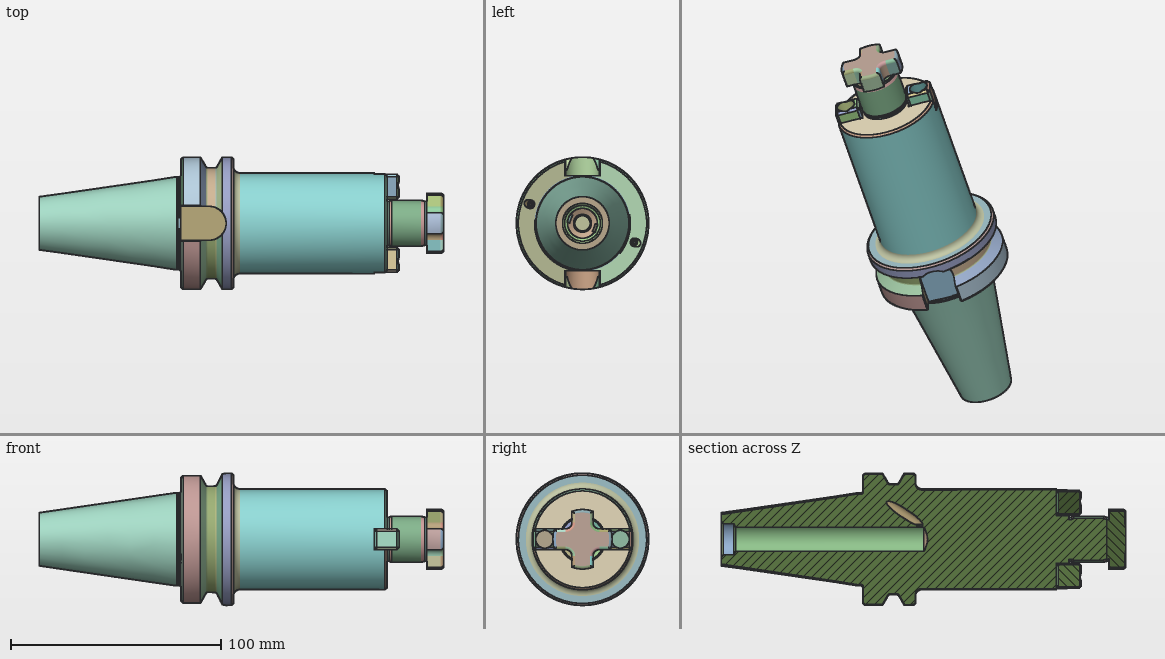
import cadquery as cq
import math


GAUGE_RADIUS = 44.45 / 2
TAPER_LENGTH = 65.4
TAPER_RATIO = 7 / 24
TAPER_END_RADIUS = GAUGE_RADIUS - TAPER_LENGTH * TAPER_RATIO / 2
FLANGE_RADIUS = 63 / 2
FLANGE_START = 2.0
FLANGE_END = 27.0
EDGE_CHAMFER = 1.0
NECK_RADIUS = GAUGE_RADIUS - 0.2
NECK_START = 0.6
NECK_FILLET = 0.8

GROOVE_CENTER = 16.5
GROOVE_FLOOR_RADIUS = 53 / 2
GROOVE_TOP_HALF_WIDTH = 5.2
GROOVE_HALF_ANGLE = 30
GROOVE_FLOOR_FILLET = 0.6

FLANGE_SLOT_WIDTH = 16.1
FLANGE_SLOT_FLOOR = 22.5
FLANGE_SLOT_END = 23.5
FLANGE_SLOT_CHAMFER = 0.5

BODY_RADIUS = 48 / 2
BODY_END = 100.0
BODY_FILLET = 3.0
PILOT_RADIUS = 22 / 2
PILOT_LENGTH = 18.0
PILOT_END = BODY_END + PILOT_LENGTH
PILOT_RELIEF_DEPTH = 0.5
PILOT_RELIEF_WIDTH = 1.0
PILOT_RELIEF_RAMP = 1.2
PILOT_LEAD_LENGTH = 1.8
PILOT_LEAD_DEPTH = 0.5

MOUTH_RADIUS = 19 / 2
COUNTERBORE_RADIUS = 17 / 2
COUNTERBORE_DEPTH = 6.0
BORE_RADIUS = 14.2 / 2
BORE_COUNTERSINK_ANGLE = 120
BORE_END = 31.0
BORE_TIP_HALF_ANGLE = 59

SCREW_RADIUS = 8.5 / 2
SCREW_TIP = 50.0
SCREW_TIP_CHAMFER = 0.6
SCREW_COLLAR_RADIUS = PILOT_RADIUS - PILOT_LEAD_DEPTH
HEAD_RADIUS = 28.4 / 2
SCREW_COLLAR_LENGTH = 1.0
HEAD_START = PILOT_END + SCREW_COLLAR_LENGTH
HEAD_LENGTH = 8.0
HEAD_EDGE_FILLET = 1.5
LUG_HALF_WIDTH = 5.0
NOTCH_FILLET = 3.0

KEY_START = 94.0
KEY_LENGTH = 11.8
KEY_WIDTH = 10.0
KEY_HEIGHT = 12.0
KEY_INNER = 11.4
KEY_CHAMFER = 1.2
KEY_HOLE_OFFSET = 18.0
KEY_HOLE_RADIUS = 8.5 / 2
KEY_HOLE_DEPTH = 6.0

CHANNEL_RADIUS = 4 / 2
CHANNEL_TILT = 35
CHANNEL_MOUTH_RADIUS = 26.9
CHANNEL_ROTATIONS = (20, 200)
CHANNEL_INNER_END = 6.0
PLUG_RECESS = 1.2
PLUG_LENGTH = 5.0
PLUG_SOCKET = 2.0
PLUG_SOCKET_DEPTH = 2.0
PLUG_CHAMFER = 0.3

SIDES = (1, -1)


def turned(points):
    """Solid of revolution about X from an (x, radius) outline."""
    return cq.Workplane("XZ").polyline(points).close().revolve(360, (0, 0, 0), (1, 0, 0))


def outside():
    groove_depth = FLANGE_RADIUS - GROOVE_FLOOR_RADIUS
    floor_half = GROOVE_TOP_HALF_WIDTH - groove_depth * math.tan(math.radians(GROOVE_HALF_ANGLE))
    rim = FLANGE_RADIUS - EDGE_CHAMFER
    relief_end = BODY_END + PILOT_RELIEF_WIDTH
    relief_radius = PILOT_RADIUS - PILOT_RELIEF_DEPTH
    profile = (
        cq.Workplane("XZ")
        .moveTo(-TAPER_LENGTH, 0)
        .lineTo(-TAPER_LENGTH, TAPER_END_RADIUS)
        .lineTo(0, GAUGE_RADIUS)
        .lineTo(NECK_START, NECK_RADIUS)
        .lineTo(FLANGE_START - NECK_FILLET, NECK_RADIUS)
        .radiusArc((FLANGE_START, NECK_RADIUS + NECK_FILLET), -NECK_FILLET)
        .lineTo(FLANGE_START, rim)
        .lineTo(FLANGE_START + EDGE_CHAMFER, FLANGE_RADIUS)
        .lineTo(GROOVE_CENTER - GROOVE_TOP_HALF_WIDTH, FLANGE_RADIUS)
        .lineTo(GROOVE_CENTER - floor_half, GROOVE_FLOOR_RADIUS)
        .lineTo(GROOVE_CENTER + floor_half, GROOVE_FLOOR_RADIUS)
        .lineTo(GROOVE_CENTER + GROOVE_TOP_HALF_WIDTH, FLANGE_RADIUS)
        .lineTo(FLANGE_END - EDGE_CHAMFER, FLANGE_RADIUS)
        .lineTo(FLANGE_END, rim)
        .lineTo(FLANGE_END, BODY_RADIUS + BODY_FILLET)
        .radiusArc((FLANGE_END + BODY_FILLET, BODY_RADIUS), -BODY_FILLET)
        .lineTo(BODY_END - EDGE_CHAMFER, BODY_RADIUS)
        .lineTo(BODY_END, BODY_RADIUS - EDGE_CHAMFER)
        .lineTo(BODY_END, relief_radius)
        .lineTo(relief_end, relief_radius)
        .lineTo(relief_end + PILOT_RELIEF_RAMP, PILOT_RADIUS)
        .lineTo(PILOT_END - PILOT_LEAD_LENGTH, PILOT_RADIUS)
        .lineTo(PILOT_END, PILOT_RADIUS - PILOT_LEAD_DEPTH)
        .lineTo(PILOT_END, 0)
        .close()
    )
    solid = profile.revolve(360, (0, 0, 0), (1, 0, 0))
    margin = 0.1
    floor_edges = cq.selectors.BoxSelector(
        (GROOVE_CENTER - floor_half - margin, -FLANGE_RADIUS, -FLANGE_RADIUS),
        (GROOVE_CENTER + floor_half + margin, FLANGE_RADIUS, FLANGE_RADIUS),
    )
    return solid.edges(floor_edges).edges("%CIRCLE").fillet(GROOVE_FLOOR_FILLET)


def axial_bore():
    mouth = -TAPER_LENGTH
    step = mouth + COUNTERBORE_DEPTH
    countersink = (COUNTERBORE_RADIUS - BORE_RADIUS) / math.tan(math.radians(BORE_COUNTERSINK_ANGLE / 2))
    tip = BORE_END + (BORE_RADIUS - SCREW_RADIUS) / math.tan(math.radians(BORE_TIP_HALF_ANGLE))
    return turned(
        [
            (mouth, 0),
            (mouth, MOUTH_RADIUS),
            (mouth + MOUTH_RADIUS - COUNTERBORE_RADIUS, COUNTERBORE_RADIUS),
            (step, COUNTERBORE_RADIUS),
            (step + countersink, BORE_RADIUS),
            (BORE_END, BORE_RADIUS),
            (tip, SCREW_RADIUS),
            (PILOT_END, SCREW_RADIUS),
            (PILOT_END, 0),
        ]
    )


def flange_slot(side):
    end_radius = FLANGE_SLOT_WIDTH / 2
    arc_center = FLANGE_SLOT_END - end_radius
    start = FLANGE_START - NECK_FILLET
    return (
        cq.Workplane("XY")
        .workplane(offset=side * FLANGE_SLOT_FLOOR)
        .moveTo(start, -end_radius)
        .lineTo(arc_center, -end_radius)
        .threePointArc((FLANGE_SLOT_END, 0), (arc_center, end_radius))
        .lineTo(start, end_radius)
        .close()
        .extrude(side * FLANGE_RADIUS)
    )


def flange_slot_rims():
    """Selects the slot edges on the front rim of the flange."""
    half_width = FLANGE_SLOT_WIDTH / 2
    margin = 0.2
    rim_end = GROOVE_CENTER - GROOVE_TOP_HALF_WIDTH
    selector = None
    half_height = (FLANGE_RADIUS - FLANGE_SLOT_FLOOR) / 2 - margin
    for side in SIDES:
        wall_middle = side * (FLANGE_RADIUS + FLANGE_SLOT_FLOOR) / 2
        for wall in SIDES:
            low = (FLANGE_START - margin, wall * half_width - margin, wall_middle - half_height)
            high = (rim_end, wall * half_width + margin, wall_middle + half_height)
            box = cq.selectors.BoxSelector(low, high)
            selector = box if selector is None else selector + box
    return selector


def key_slot(side):
    return (
        cq.Workplane("XY")
        .box(BODY_END - KEY_START, BODY_RADIUS, KEY_WIDTH, centered=(False, False, True))
        .translate((KEY_START, KEY_INNER, 0))
        .rotate((0, 0, 0), (1, 0, 0), 90 - 90 * side)
    )


def channel_plane(rotation):
    """Plane at the channel mouth on the flange face, its normal pointing down the channel."""
    turn = math.radians(rotation)
    tilt = math.radians(CHANNEL_TILT)
    outward = cq.Vector(0, math.cos(turn), math.sin(turn))
    along = cq.Vector(math.cos(tilt), 0, 0) - outward * math.sin(tilt)
    mouth = outward * CHANNEL_MOUTH_RADIUS + cq.Vector(FLANGE_START, 0, 0)
    across = cq.Vector(1, 0, 0).cross(outward)
    return cq.Plane(origin=mouth, xDir=across, normal=along)


def coolant_channel(rotation):
    length = (CHANNEL_MOUTH_RADIUS - CHANNEL_INNER_END) / math.sin(math.radians(CHANNEL_TILT))
    start = -2 * CHANNEL_RADIUS
    return (
        cq.Workplane(channel_plane(rotation))
        .workplane(offset=start)
        .circle(CHANNEL_RADIUS)
        .extrude(length - start)
    )


def make_plug(rotation):
    """Coolant plug: a set screw with a hexagon socket."""
    plug = (
        cq.Workplane(channel_plane(rotation))
        .workplane(offset=PLUG_RECESS)
        .circle(CHANNEL_RADIUS)
        .extrude(PLUG_LENGTH)
        .edges()
        .chamfer(PLUG_CHAMFER)
    )
    socket = (
        cq.Workplane(channel_plane(rotation))
        .workplane(offset=PLUG_RECESS)
        .polygon(6, PLUG_SOCKET / math.cos(math.pi / 6))
        .extrude(PLUG_SOCKET_DEPTH)
    )
    return plug.cut(socket)


def make_key(side):
    """Drive key, chamfered all round, with a counterbore for its fastening screw."""
    block = (
        cq.Workplane("XY")
        .box(KEY_LENGTH, KEY_HEIGHT, KEY_WIDTH, centered=(False, False, True))
        .edges()
        .chamfer(KEY_CHAMFER)
        .translate((KEY_START, KEY_INNER, 0))
    )
    hole = (
        cq.Workplane("YZ", origin=(KEY_START + KEY_LENGTH, KEY_HOLE_OFFSET, 0))
        .circle(KEY_HOLE_RADIUS)
        .extrude(-KEY_HOLE_DEPTH)
    )
    return block.cut(hole).rotate((0, 0, 0), (1, 0, 0), 90 - 90 * side)


def make_screw():
    """Clamping screw: chamfered shank, collar against the pilot and a four-lug head."""
    shank = turned(
        [
            (SCREW_TIP, 0),
            (SCREW_TIP, SCREW_RADIUS - SCREW_TIP_CHAMFER),
            (SCREW_TIP + SCREW_TIP_CHAMFER, SCREW_RADIUS),
            (PILOT_END, SCREW_RADIUS),
            (PILOT_END, SCREW_COLLAR_RADIUS),
            (HEAD_START, SCREW_COLLAR_RADIUS),
            (HEAD_START, 0),
        ]
    )
    disc = (
        cq.Workplane("YZ", origin=(HEAD_START, 0, 0))
        .circle(HEAD_RADIUS)
        .extrude(HEAD_LENGTH)
    )
    notch_center = LUG_HALF_WIDTH + HEAD_RADIUS / 2
    notches = (
        cq.Workplane("YZ", origin=(HEAD_START, 0, 0))
        .rect(2 * notch_center, 2 * notch_center, forConstruction=True)
        .vertices()
        .rect(HEAD_RADIUS, HEAD_RADIUS)
        .extrude(HEAD_LENGTH)
        .edges("|X")
        .fillet(NOTCH_FILLET)
    )
    head = disc.cut(notches).faces(">X").edges().fillet(HEAD_EDGE_FILLET)
    return shank.union(head)


def make_holder():
    solid = outside().cut(axial_bore())
    for side in SIDES:
        solid = solid.cut(flange_slot(side)).cut(key_slot(side))
    solid = solid.edges(flange_slot_rims()).chamfer(FLANGE_SLOT_CHAMFER)
    for rotation in CHANNEL_ROTATIONS:
        solid = solid.cut(coolant_channel(rotation))
    return solid


holder = make_holder()
screw = make_screw()
keys = [make_key(side) for side in SIDES]
plugs = [make_plug(rotation) for rotation in CHANNEL_ROTATIONS]

result = cq.Compound.makeCompound(
    [holder.val(), screw.val(), *[key.val() for key in keys], *[plug.val() for plug in plugs]]
)